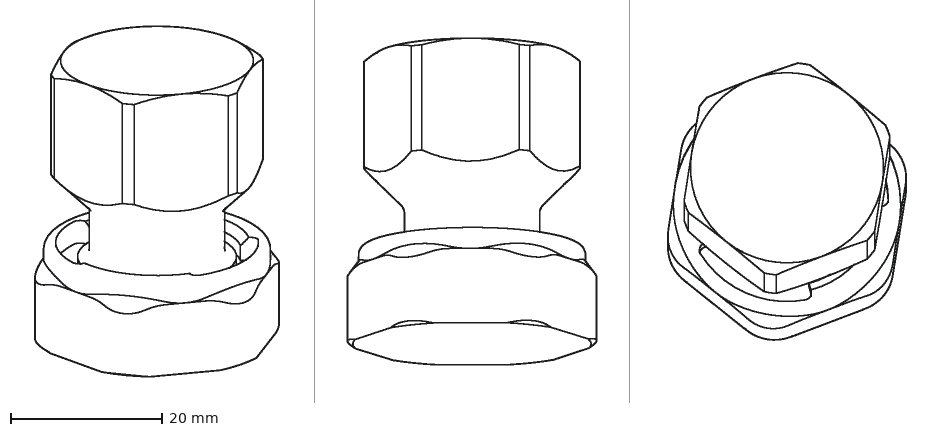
import cadquery as cq
import math

COS_30 = math.cos(math.radians(30))
TAN_30 = math.tan(math.radians(30))
CORNER_LOSS = 1 / COS_30 - 1

NUT_FLATS = 30.0
NUT_CORNER_RADIUS = 5.5
NUT_HEIGHT = 13.0
COLLAR_RADIUS = NUT_FLATS / 2
COLLAR_EDGE_FILLET = 1.0
NUT_BASE_RADIUS = 15.75

SHOULDER_BOTTOM_Z = 9.0
SHOULDER_MIDDLE_Z = 10.0
SHOULDER_TOP_Z = 11.0
SHOULDER_MIDDLE_CORNER = 15.75

BORE_RADIUS = 11.15
MOUTH_RADIUS = 12.25
RECESS_FLOOR_Z = 9.8
SLOT_RADIUS = 13.4
SLOT_CORNER_RADIUS = 1.0
SLOT_SWEEP = 78.0
SLOT_CENTRES = (15.0, 225.0)

FLANGE_RADIUS = 10.5
FLANGE_Z = 11.0
NECK_RADIUS = 8.95
FLANGE_FILLET = 1.0
NECK_HEAD_FILLET = 2.0
HEAD_CONE_Z = 18.35
HEAD_CONE_ANGLE = math.radians(45)
HEAD_FLATS = 25.5
HEAD_CORNER_RADIUS = 14.28
TOTAL_HEIGHT = 38.7


def corner_reach(flats):
    """Distance from the axis to a sharp corner of a hexagon."""
    return flats / 2 / COS_30


def hexagon(flats, base_z, top_z, rounding=0.0, taper=0.0):
    """Hexagonal prism with two corners on the X axis, optionally rounded and tapered."""
    outline = cq.Sketch().regularPolygon(corner_reach(flats), 6, 90)
    if rounding > 0:
        outline = outline.vertices().fillet(rounding)
    plane = cq.Workplane("XY").workplane(offset=base_z)
    return plane.placeSketch(outline).extrude(top_z - base_z, taper=taper)


def cylinder(radius, base_z, top_z):
    return cq.Workplane("XY").workplane(offset=base_z).circle(radius).extrude(top_z - base_z)


def revolved(profile):
    """Close a profile drawn as radius against height and revolve it about Z."""
    return profile.close().revolve(360, (0, 0, 0), (0, 1, 0))


def make_shoulder():
    """Rounded hexagon that narrows in two tapers from the nut corners into the collar."""
    lower_height = SHOULDER_MIDDLE_Z - SHOULDER_BOTTOM_Z
    upper_height = SHOULDER_TOP_Z - SHOULDER_MIDDLE_Z
    nut_corner = corner_reach(NUT_FLATS) - NUT_CORNER_RADIUS * CORNER_LOSS
    middle_rounding = (corner_reach(NUT_FLATS) - SHOULDER_MIDDLE_CORNER) / CORNER_LOSS
    lower_inset = nut_corner - SHOULDER_MIDDLE_CORNER
    upper_inset = SHOULDER_MIDDLE_CORNER - COLLAR_RADIUS
    lower = hexagon(
        NUT_FLATS + 2 * lower_inset,
        SHOULDER_BOTTOM_Z,
        SHOULDER_MIDDLE_Z,
        middle_rounding + lower_inset,
        taper=math.degrees(math.atan(lower_inset / lower_height)),
    )
    upper = hexagon(
        NUT_FLATS,
        SHOULDER_MIDDLE_Z,
        SHOULDER_TOP_Z,
        middle_rounding,
        taper=math.degrees(math.atan(upper_inset / upper_height)),
    )
    nut_sides = hexagon(NUT_FLATS, SHOULDER_BOTTOM_Z, SHOULDER_TOP_Z, NUT_CORNER_RADIUS)
    return lower.union(upper).intersect(nut_sides)


def make_nut():
    reach = corner_reach(NUT_FLATS)
    chamfer_height = (reach - NUT_BASE_RADIUS) * TAN_30
    envelope = revolved(
        cq.Workplane("XZ")
        .lineTo(NUT_BASE_RADIUS, 0)
        .lineTo(reach, chamfer_height)
        .lineTo(reach, NUT_HEIGHT)
        .lineTo(0, NUT_HEIGHT)
    )
    sides = hexagon(NUT_FLATS, 0, SHOULDER_BOTTOM_Z, NUT_CORNER_RADIUS).intersect(envelope)
    collar = cylinder(COLLAR_RADIUS, SHOULDER_BOTTOM_Z, NUT_HEIGHT)
    collar = collar.faces(">Z").edges().fillet(COLLAR_EDGE_FILLET)
    return sides.union(make_shoulder()).union(collar)


def make_mouth():
    """Round bore with a countersunk entry."""
    countersink_depth = MOUTH_RADIUS - BORE_RADIUS
    return revolved(
        cq.Workplane("XZ")
        .moveTo(0, RECESS_FLOOR_Z)
        .lineTo(BORE_RADIUS, RECESS_FLOOR_Z)
        .lineTo(BORE_RADIUS, NUT_HEIGHT - countersink_depth)
        .lineTo(MOUTH_RADIUS, NUT_HEIGHT)
        .lineTo(0, NUT_HEIGHT)
    )


def make_slot(centre_angle):
    """Sector-shaped pocket that widens the mouth over part of its rim."""
    depth = NUT_HEIGHT - RECESS_FLOOR_Z
    half_sweep = math.radians(SLOT_SWEEP / 2)
    end_x = SLOT_RADIUS * math.cos(half_sweep)
    end_y = SLOT_RADIUS * math.sin(half_sweep)
    return (
        cq.Workplane("XY")
        .workplane(offset=RECESS_FLOOR_Z)
        .lineTo(end_x, -end_y)
        .threePointArc((SLOT_RADIUS, 0), (end_x, end_y))
        .close()
        .extrude(depth)
        .edges("|Z and (>Y or <Y)")
        .fillet(SLOT_CORNER_RADIUS)
        .rotate((0, 0, 0), (0, 0, 1), centre_angle)
    )


def make_tail_core():
    """Flange, neck and the cone under the head, widening to the corners of the head."""
    cone_top_z = HEAD_CONE_Z + (HEAD_CORNER_RADIUS - NECK_RADIUS) * math.tan(HEAD_CONE_ANGLE)
    chamfer_height = (HEAD_CORNER_RADIUS - HEAD_FLATS / 2) * TAN_30
    tangent_length = NECK_HEAD_FILLET * math.tan(HEAD_CONE_ANGLE / 2)
    fillet_rise = NECK_HEAD_FILLET * math.sin(HEAD_CONE_ANGLE)
    fillet_run = NECK_HEAD_FILLET * (1 - math.cos(HEAD_CONE_ANGLE))
    fillet_start_z = HEAD_CONE_Z - tangent_length
    return revolved(
        cq.Workplane("XZ")
        .moveTo(0, RECESS_FLOOR_Z)
        .lineTo(FLANGE_RADIUS, RECESS_FLOOR_Z)
        .lineTo(FLANGE_RADIUS, FLANGE_Z)
        .lineTo(NECK_RADIUS + FLANGE_FILLET, FLANGE_Z)
        .radiusArc((NECK_RADIUS, FLANGE_Z + FLANGE_FILLET), FLANGE_FILLET)
        .lineTo(NECK_RADIUS, fillet_start_z)
        .radiusArc((NECK_RADIUS + fillet_run, fillet_start_z + fillet_rise), NECK_HEAD_FILLET)
        .lineTo(HEAD_CORNER_RADIUS, cone_top_z)
        .lineTo(HEAD_CORNER_RADIUS, TOTAL_HEIGHT - chamfer_height)
        .lineTo(HEAD_FLATS / 2, TOTAL_HEIGHT)
        .lineTo(0, TOTAL_HEIGHT)
    )


def make_tail_piece():
    """Turned tail piece with six flats milled on its head."""
    return make_tail_core().intersect(hexagon(HEAD_FLATS, RECESS_FLOOR_Z, TOTAL_HEIGHT))


nut = make_nut().cut(make_mouth())
for slot_centre in SLOT_CENTRES:
    nut = nut.cut(make_slot(slot_centre))

result = nut.union(make_tail_piece())